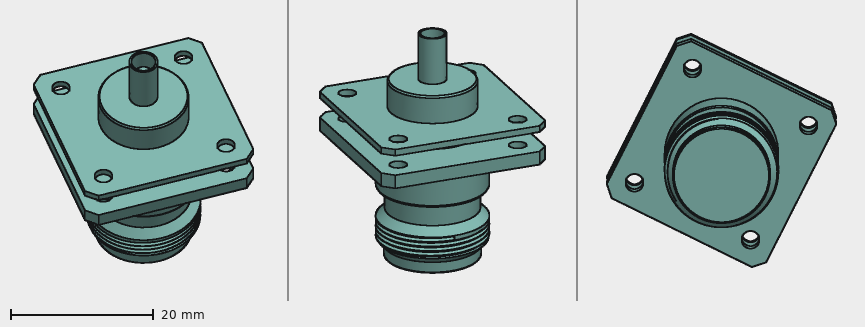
import cadquery as cq

TOTAL_HEIGHT = 33.65
MOUTH_TOP = 1.72
NECK_BOTTOM = 7.25
COLLAR_BOTTOM = 10.5
FLANGE_BOTTOM = 16.7
FLANGE_THICKNESS = 2.0
PLATE_BOTTOM = 21.65
PLATE_THICKNESS = 0.95
BODY_TOP = 26.75

MOUTH_DIAMETER = 13.7
THREAD_DIAMETER = 16.0
NECK_DIAMETER = 13.5
COLLAR_DIAMETER = THREAD_DIAMETER
BODY_DIAMETER = 12.7
MOUTH_CHAMFER = 0.2
EDGE_CHAMFER_RADIAL = 0.2
EDGE_CHAMFER_AXIAL = 0.3

THREAD_TOP = NECK_BOTTOM - (THREAD_DIAMETER - NECK_DIAMETER) / 2

FLANGE_SIDE = 25.0
CORNER_CHAMFER = 1.5
HOLE_DIAMETER = 2.5
HOLE_PITCH = 18.2

TUBE_DIAMETER = 4.0
TUBE_BORE = 3.4
PIN_DIAMETER = 2.4
PIN_CHAMFER = 0.2
PIN_RECESS = 2.0

THREAD_PITCH = 0.7
THREAD_TURNS = 5.25
START_ANGLE = -90
GROOVE_DEPTH = 0.45
GROOVE_WIDTH = 0.63
GROOVE_OVERCUT = 0.2


def turned_body():
    """Revolve the stepped body with its 45 degree thread shoulders."""
    mouth_r = MOUTH_DIAMETER / 2
    thread_r = THREAD_DIAMETER / 2
    neck_r = NECK_DIAMETER / 2
    collar_r = COLLAR_DIAMETER / 2
    body_r = BODY_DIAMETER / 2
    thread_bottom = MOUTH_TOP + (thread_r - mouth_r)
    profile = [
        (0, 0),
        (mouth_r - MOUTH_CHAMFER, 0),
        (mouth_r, MOUTH_CHAMFER),
        (mouth_r, MOUTH_TOP),
        (thread_r, thread_bottom),
        (thread_r, THREAD_TOP),
        (neck_r, NECK_BOTTOM),
        (neck_r, COLLAR_BOTTOM),
        (collar_r - EDGE_CHAMFER_RADIAL, COLLAR_BOTTOM),
        (collar_r, COLLAR_BOTTOM + EDGE_CHAMFER_AXIAL),
        (collar_r, FLANGE_BOTTOM),
        (body_r, FLANGE_BOTTOM),
        (body_r, BODY_TOP - EDGE_CHAMFER_AXIAL),
        (body_r - EDGE_CHAMFER_RADIAL, BODY_TOP),
        (0, BODY_TOP),
    ]
    return cq.Workplane("XZ").polyline(profile).close().revolve(360, (0, 0), (0, 1))


def square_plate(bottom, thickness):
    """Square plate with cut corners and four mounting holes."""
    plate = (
        cq.Workplane("XY")
        .workplane(offset=bottom)
        .rect(FLANGE_SIDE, FLANGE_SIDE)
        .extrude(thickness)
        .edges("|Z")
        .chamfer(CORNER_CHAMFER)
    )
    return (
        plate.faces(">Z")
        .workplane()
        .rect(HOLE_PITCH, HOLE_PITCH, forConstruction=True)
        .vertices()
        .hole(HOLE_DIAMETER)
    )


def crimp_tube():
    """Thin tube standing on the body, open at the top."""
    return (
        cq.Workplane("XY")
        .workplane(offset=BODY_TOP)
        .circle(TUBE_DIAMETER / 2)
        .circle(TUBE_BORE / 2)
        .extrude(TOTAL_HEIGHT - BODY_TOP)
    )


def centre_pin():
    """Chamfered pin inside the crimp tube."""
    return (
        cq.Workplane("XY")
        .workplane(offset=BODY_TOP)
        .circle(PIN_DIAMETER / 2)
        .extrude(TOTAL_HEIGHT - PIN_RECESS - BODY_TOP)
        .faces(">Z")
        .chamfer(PIN_CHAMFER)
    )


def thread_groove():
    """V groove along a helix whose upper end is on the -Y side just below the upper shoulder."""
    crest_r = THREAD_DIAMETER / 2
    outer_r = crest_r + GROOVE_OVERCUT
    root_r = crest_r - GROOVE_DEPTH
    half_width = GROOVE_WIDTH / 2
    outer_half_width = half_width * (outer_r - root_r) / GROOVE_DEPTH
    length = THREAD_PITCH * THREAD_TURNS
    helix = cq.Wire.makeHelix(THREAD_PITCH, length, crest_r)
    groove = (
        cq.Workplane("XZ")
        .polyline([(root_r, 0), (outer_r, outer_half_width), (outer_r, -outer_half_width)])
        .close()
        .sweep(cq.Workplane(obj=helix), isFrenet=True)
    )
    lower_end_angle = START_ANGLE - 360 * THREAD_TURNS
    bottom = THREAD_TOP - half_width - length
    return groove.rotate((0, 0, 0), (0, 0, 1), lower_end_angle).translate((0, 0, bottom))


result = (
    turned_body()
    .cut(thread_groove())
    .union(square_plate(FLANGE_BOTTOM, FLANGE_THICKNESS))
    .union(square_plate(PLATE_BOTTOM, PLATE_THICKNESS))
    .union(crimp_tube())
    .union(centre_pin())
)